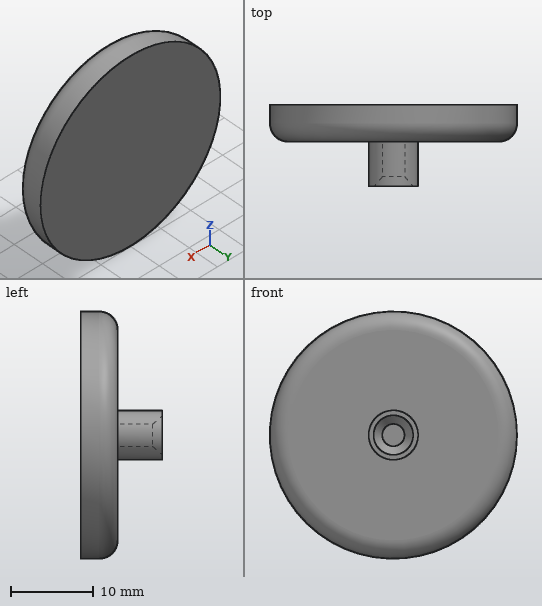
import cadquery as cq


disc_diameter = 30.0
disc_thickness = 4.5
rim_radius = disc_thickness / 2

stud_diameter = 6.0
stud_length = 5.4
stud_edge_radius = 0.1

bore_diameter = 2.7
countersink_diameter = 4.8
countersink_angle = 82.0


def front_facing_plane(distance):
    """Plane facing -Y, at the given distance in front of the back face of the disc."""
    return cq.Workplane(cq.Plane(origin=(0, -distance, 0), xDir=(1, 0, 0), normal=(0, -1, 0)))


def make_disc():
    """Round disc with a rounded front rim and a sharp back edge."""
    disc = front_facing_plane(0).circle(disc_diameter / 2).extrude(disc_thickness)
    return disc.faces("<Y").edges().fillet(rim_radius)


def make_stud():
    """Round stud with a softened tip edge and a countersunk bore."""
    stud = front_facing_plane(disc_thickness).circle(stud_diameter / 2).extrude(stud_length)
    stud = stud.faces("<Y").edges().fillet(stud_edge_radius)
    return stud.faces("<Y").workplane().cskHole(bore_diameter, countersink_diameter, countersink_angle)


disc = make_disc()
stud = make_stud()

result = cq.Compound.makeCompound([disc.val(), stud.val()])